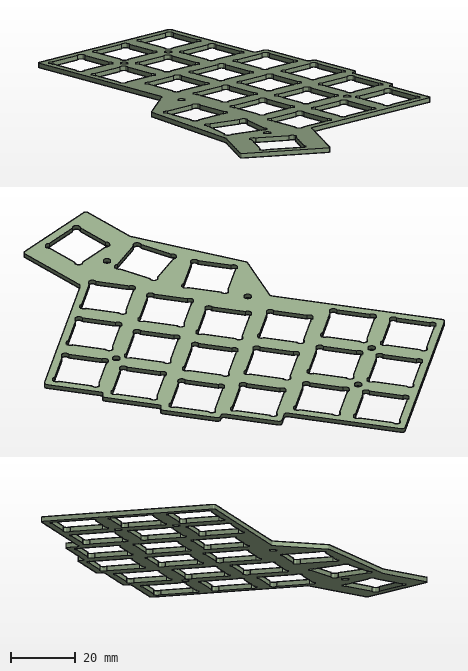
import cadquery as cq
import math

pitch = 19.0
rows = 3
stagger = pitch / 8
column_steps = [0, 0, 2, 3, 2, 1]
thickness = 1.5
outline_radius = 1.0

opening_side = 14.0
relief_radius = 1.2
relief_inset = 0.8

tilt_step = 15
end_tilt = -2 * tilt_step
end_key_x = 119.3
end_key_y = -11.8
thumb_keys = [
    (4 * pitch, -5.4, 0),
    (96.9, -8.3, -tilt_step),
    (end_key_x, end_key_y, end_tilt),
]
end_cell_length = 28.7
end_edge_offset = 9.8
end_root_offset = 8.9

block_foot_x = 55.5
thumb_corner = (66.2, -15.1)

screw_diameter = 2.3

column_shifts = [steps * stagger for steps in column_steps]
block_width = len(column_steps) * pitch
block_height = rows * pitch
screw_holes = [
    (pitch, pitch),
    (pitch, 2 * pitch),
    (5 * pitch, 2 * pitch + (column_shifts[4] + column_shifts[5]) / 2),
    (62.2, 1.9),
    (108.6, -6.0),
]


def end_cell_point(across, along):
    """Point of the tilted end cell, measured from its centre along its own axes."""
    angle = math.radians(end_tilt)
    return (
        end_key_x + across * math.cos(angle) - along * math.sin(angle),
        end_key_y + across * math.sin(angle) + along * math.cos(angle),
    )


def outline_points():
    """Corners of the plate, clockwise from the lower left corner."""
    points = [(0, 0), (0, block_height)]
    for column in range(1, len(column_shifts)):
        before = column_shifts[column - 1]
        after = column_shifts[column]
        if before != after:
            points.append((column * pitch, block_height + before))
            points.append((column * pitch, block_height + after))
    points.append((block_width, block_height + column_shifts[-1]))

    outer_upper = end_cell_point(end_edge_offset, end_cell_length / 2)
    outer_lower = end_cell_point(end_edge_offset, -end_cell_length / 2)
    inner_lower = end_cell_point(-end_root_offset, -end_cell_length / 2)
    rise = (outer_upper[0] - block_width) * math.tan(math.radians(-end_tilt))
    points.append((block_width, outer_upper[1] + rise))
    points += [outer_upper, outer_lower, inner_lower]

    points += [thumb_corner, (block_foot_x, 0)]
    return points


def make_opening():
    """Cutter for one switch opening, centred on the Z axis."""
    relief_spacing = opening_side - 2 * relief_inset
    square = cq.Workplane("XY").rect(opening_side, opening_side).extrude(thickness)
    reliefs = (
        cq.Workplane("XY")
        .rect(relief_spacing, relief_spacing, forConstruction=True)
        .vertices()
        .circle(relief_radius)
        .extrude(thickness)
    )
    return square.union(reliefs)


plate = cq.Workplane("XY").polyline(outline_points()).close().extrude(thickness)
plate = plate.edges("|Z").fillet(outline_radius)

key_places = [
    ((column + 0.5) * pitch, (row + 0.5) * pitch + shift, 0)
    for column, shift in enumerate(column_shifts)
    for row in range(rows)
]
opening = make_opening()
for x, y, angle in key_places + thumb_keys:
    placed = opening.rotate((0, 0, 0), (0, 0, 1), angle).translate((x, y, 0))
    plate = plate.cut(placed)

screws = cq.Workplane("XY").pushPoints(screw_holes).circle(screw_diameter / 2).extrude(thickness)
result = plate.cut(screws)